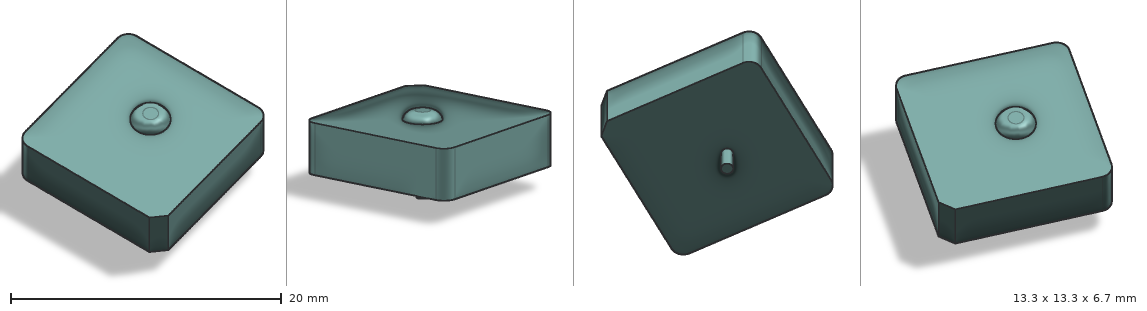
import cadquery as cq

body_side = 13.3
body_height = 4.0
corner_radius = 1.0
corner_chamfer = 1.0

pin_offset_y = 0.9
pin_diameter = 0.9
pin_length = 2.0
head_diameter = 3.0
head_height = 0.7
head_flat_diameter = 1.17


def make_body():
    body = cq.Workplane("XY").box(body_side, body_side, body_height, centered=(True, True, False))
    body = body.edges("|Z and (<X or >Y)").fillet(corner_radius)
    return body.edges("|Z").edges(">X").edges("<Y").chamfer(corner_chamfer)


def make_pin():
    return (
        cq.Workplane("XY")
        .center(0, pin_offset_y)
        .circle(pin_diameter / 2)
        .extrude(-pin_length)
    )


def make_head():
    head_radius = head_diameter / 2
    flat_radius = head_flat_diameter / 2
    shoulder_width = head_radius - flat_radius
    shoulder_radius = (shoulder_width**2 + head_height**2) / (2 * head_height)
    profile = (
        cq.Workplane("XZ")
        .lineTo(head_radius, 0)
        .radiusArc((flat_radius, head_height), -shoulder_radius)
        .lineTo(0, head_height)
        .close()
    )
    head = profile.revolve(360, (0, 0, 0), (0, 1, 0))
    return head.translate((0, pin_offset_y, body_height))


result = make_body().union(make_pin()).union(make_head())